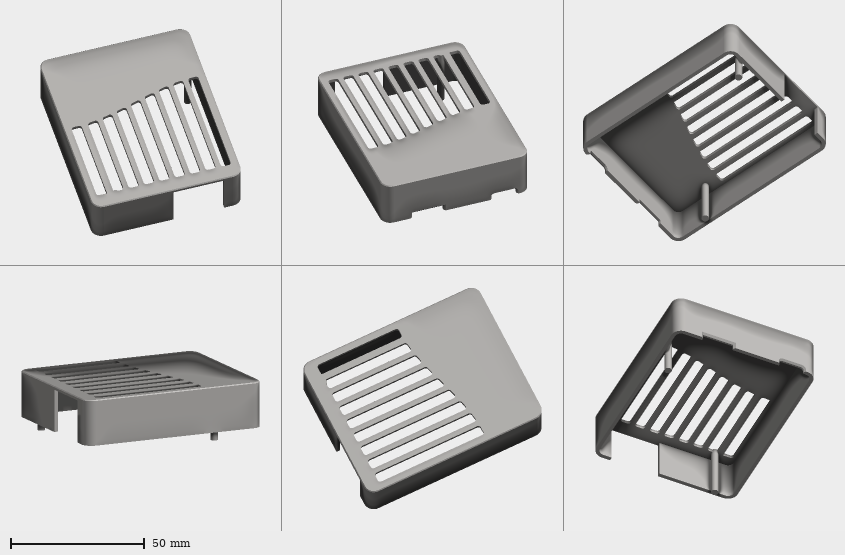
import cadquery as cq

length = 73.6
width = 58.3
height = 17.5
corner_radius = 4.0
top_edge_chamfer = 0.4
wall = 1.5
roof = 1.3

pin_diameter = 2.8
pin_drop = 4.05
back_pin = (-19.0, 24.0)
front_pin = (31.9, -19.2)

slot_width = 4.0
regular_slot_count = 8
back_slot_y = 24.2
last_regular_slot_y = -17.75
front_slot_y = -24.3
slot_right_x = 31.1
slot_corner_radius = 1.0
curve_back_x = -12.9
curve_front_x = -2.7
curve_half_span = 24.3

notch_mouth_height = 2.8
flare_depth = 0.7
square_notch_y = (5.15, 17.6)
square_notch_flare = 0.7
round_notch_y = (-24.0, -14.05)
round_notch_flare = 0.6
round_notch_radius = 1.1

opening_y = (1.9, 21.7)

outer_x = length / 2
roof_underside = height - roof
slot_pitch = (back_slot_y - last_regular_slot_y) / (regular_slot_count - 1)


def make_shell():
    body = cq.Workplane("XY").rect(length, width).extrude(height)
    body = body.edges("|Z").fillet(corner_radius)
    body = body.faces(">Z").edges().chamfer(top_edge_chamfer)
    cavity = cq.Workplane("XY").rect(length - 2 * wall, width - 2 * wall).extrude(roof_underside)
    cavity = cavity.edges("|Z").fillet(corner_radius - wall)
    return body.cut(cavity)


def slot_left_x(y):
    """Cubic S-curve that runs parallel to Y at both of its ends."""
    u = max(-1.0, min(1.0, y / curve_half_span))
    middle_x = (curve_front_x + curve_back_x) / 2
    half_shift = (curve_front_x - curve_back_x) / 2
    return middle_x - half_shift * (1.5 * u - 0.5 * u**3)


def make_slot(centre_y, rounded_corners="|Z"):
    y_low = centre_y - slot_width / 2
    y_high = centre_y + slot_width / 2
    corners = [
        (slot_left_x(y_low), y_low),
        (slot_right_x, y_low),
        (slot_right_x, y_high),
        (slot_left_x(y_high), y_high),
    ]
    slot = cq.Workplane("XY", origin=(0, 0, roof_underside)).polyline(corners).close().extrude(roof)
    return slot.edges(rounded_corners).fillet(slot_corner_radius)


def make_vents():
    slot_ys = [back_slot_y - i * slot_pitch for i in range(regular_slot_count)]
    vents = make_slot(slot_ys[-1], "|Z and (not (>X and <Y))")
    vents = vents.union(make_slot(front_slot_y, "|Z and (not (>X and >Y))"))
    for y in slot_ys[:-1]:
        vents = vents.union(make_slot(y))
    return vents


def make_pin(centre):
    pin = cq.Workplane("XY").center(*centre).circle(pin_diameter / 2).extrude(height + pin_drop)
    return pin.translate((0, 0, -pin_drop))


def notch_outline(y_range, top, radius, growth=0.0):
    """Outline in the YZ plane, mirrored below the rim so that the notch is open there."""
    y_low, y_high = y_range
    outline = cq.Sketch().rect(y_high - y_low + 2 * growth, 2 * (top + growth))
    if radius > 0:
        outline = outline.vertices().fillet(radius + growth)
    return outline.moved(cq.Location(cq.Vector((y_low + y_high) / 2, 0, 0)))


def make_notch(y_range, flare, radius=0.0):
    outside = cq.Workplane("YZ", origin=(-outer_x, 0, 0))
    top = notch_mouth_height - flare
    inner = notch_outline(y_range, top, radius)
    mouth = notch_outline(y_range, top, radius, flare)
    flare_end = inner.moved(cq.Location(cq.Vector(0, 0, flare_depth)))
    passage = outside.placeSketch(inner).extrude(wall)
    return passage.union(outside.placeSketch(mouth, flare_end).loft())


def make_opening():
    y_low, y_high = opening_y
    opening = cq.Workplane("XY").box(wall, y_high - y_low, roof_underside, centered=False)
    return opening.translate((outer_x - wall, y_low, 0))


result = (
    make_shell()
    .cut(make_vents())
    .cut(make_notch(square_notch_y, square_notch_flare))
    .cut(make_notch(round_notch_y, round_notch_flare, round_notch_radius))
    .cut(make_opening())
    .union(make_pin(back_pin))
    .union(make_pin(front_pin))
)